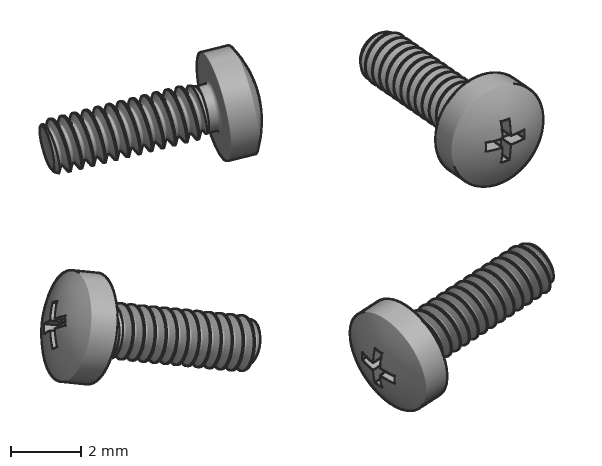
import cadquery as cq
import math

APEX_HEIGHT = 6.285

HEAD_RADIUS = 1.6
DOME_HEIGHT = 0.46
RIM_HEIGHT = 0.83
EDGE_ROUND = 0.02

RECESS_SPAN = 1.345
RECESS_WIDTH = 0.29
RECESS_DEPTH = 0.5

NECK_RADIUS = 0.69
NECK_LENGTH = 0.365
NECK_FILLET = 0.105

PITCH = 0.35
CREST_RADIUS = 0.8
ROOT_ROUND = 0.05
CREST_WIDTH = PITCH / 8
FLANK_ANGLE = 30.0
CREST_HEIGHT_AT_X = PITCH / 4
GROOVE_OVERSHOOT = 0.01
TRIM_CLEARANCE = 0.06

TIP_RADIUS = 0.68
TIP_ANGLE = 30.0
DISH_RADIUS = 0.64
DISH_DEPTH = 0.03
RUNOUT_ANGLE = 19.0

BEARING_HEIGHT = APEX_HEIGHT - DOME_HEIGHT - RIM_HEIGHT
DOME_BASE = BEARING_HEIGHT + RIM_HEIGHT
THREAD_TOP = BEARING_HEIGHT - NECK_LENGTH

GROOVE_START = CREST_HEIGHT_AT_X - 1.5 * PITCH
GROOVE_TURNS = math.ceil((BEARING_HEIGHT - GROOVE_START) / PITCH)


def tan_degrees(angle):
    return math.tan(math.radians(angle))


def make_head():
    """Domed head with lightly rounded edges."""
    dome_radius = (HEAD_RADIUS**2 + DOME_HEIGHT**2) / (2 * DOME_HEIGHT)
    half_angle = math.asin(HEAD_RADIUS / dome_radius) / 2
    dome_middle = (
        dome_radius * math.sin(half_angle),
        APEX_HEIGHT - dome_radius * (1 - math.cos(half_angle)),
    )
    head = (
        cq.Workplane("XZ")
        .moveTo(0, BEARING_HEIGHT)
        .lineTo(HEAD_RADIUS, BEARING_HEIGHT)
        .lineTo(HEAD_RADIUS, DOME_BASE)
        .threePointArc(dome_middle, (0, APEX_HEIGHT))
        .close()
        .revolve(360, (0, 0), (0, 1))
    )
    return head.edges().fillet(EDGE_ROUND)


def make_recess():
    """Cross-shaped cutter sunk into the dome."""
    floor = cq.Workplane("XY").workplane(offset=APEX_HEIGHT - RECESS_DEPTH)
    wing = floor.rect(RECESS_SPAN, RECESS_WIDTH).extrude(RECESS_DEPTH)
    return wing.union(wing.rotate((0, 0, 0), (0, 0, 1), 90))


def make_neck():
    """Plain neck flaring into the bearing face through a concave fillet."""
    fillet_start = BEARING_HEIGHT - NECK_FILLET
    flare_radius = NECK_RADIUS + NECK_FILLET
    arc_inset = NECK_FILLET * math.sqrt(0.5)
    return (
        cq.Workplane("XZ")
        .moveTo(0, THREAD_TOP)
        .lineTo(NECK_RADIUS, THREAD_TOP)
        .lineTo(NECK_RADIUS, fillet_start)
        .threePointArc(
            (flare_radius - arc_inset, fillet_start + arc_inset),
            (flare_radius, BEARING_HEIGHT),
        )
        .lineTo(0, BEARING_HEIGHT)
        .close()
        .revolve(360, (0, 0), (0, 1))
    )


def make_groove():
    """Right-handed helical V groove with a rounded root, running past both ends of the thread."""
    flank_slope = tan_degrees(FLANK_ANGLE)
    half_opening = (PITCH - CREST_WIDTH) / 2
    sharp_radius = CREST_RADIUS - half_opening / flank_slope
    sin_flank = math.sin(math.radians(FLANK_ANGLE))
    round_center = sharp_radius + ROOT_ROUND / sin_flank
    round_end = round_center - ROOT_ROUND * sin_flank
    half_round = (round_end - sharp_radius) * flank_slope
    outer_radius = CREST_RADIUS + GROOVE_OVERSHOOT
    half_outer = half_opening + GROOVE_OVERSHOOT * flank_slope

    helix = cq.Wire.makeHelix(PITCH, GROOVE_TURNS * PITCH, round_center)
    groove = (
        cq.Workplane("XZ")
        .moveTo(outer_radius, -half_outer)
        .lineTo(round_end, -half_round)
        .threePointArc((round_center - ROOT_ROUND, 0), (round_end, half_round))
        .lineTo(outer_radius, half_outer)
        .close()
        .sweep(cq.Workplane(helix), isFrenet=True)
    )
    return groove.translate((0, 0, GROOVE_START))


def make_thread_envelope():
    """Body of revolution that tapers the thread at both ends and dishes the tip face."""
    outer_radius = CREST_RADIUS + TRIM_CLEARANCE
    tip_length = (outer_radius - TIP_RADIUS) / tan_degrees(TIP_ANGLE)
    runout_length = (outer_radius - NECK_RADIUS) / tan_degrees(RUNOUT_ANGLE)
    return (
        cq.Workplane("XZ")
        .polyline([
            (0, DISH_DEPTH),
            (DISH_RADIUS, 0),
            (TIP_RADIUS, 0),
            (outer_radius, tip_length),
            (outer_radius, THREAD_TOP - runout_length),
            (NECK_RADIUS, THREAD_TOP),
            (0, THREAD_TOP),
        ])
        .close()
        .revolve(360, (0, 0), (0, 1))
    )


def make_threaded_shank():
    """Groove cut in an overlong rod, which is then trimmed to the thread envelope."""
    rod = (
        cq.Workplane("XY")
        .workplane(offset=GROOVE_START - PITCH)
        .circle(CREST_RADIUS)
        .extrude((GROOVE_TURNS + 2) * PITCH)
    )
    return rod.cut(make_groove(), clean=False).intersect(make_thread_envelope(), clean=False)


head = make_head().cut(make_recess())
screw = head.union(make_neck()).union(make_threaded_shank())

result = screw.rotate((0, 0, 0), (1, 0, 0), -90)